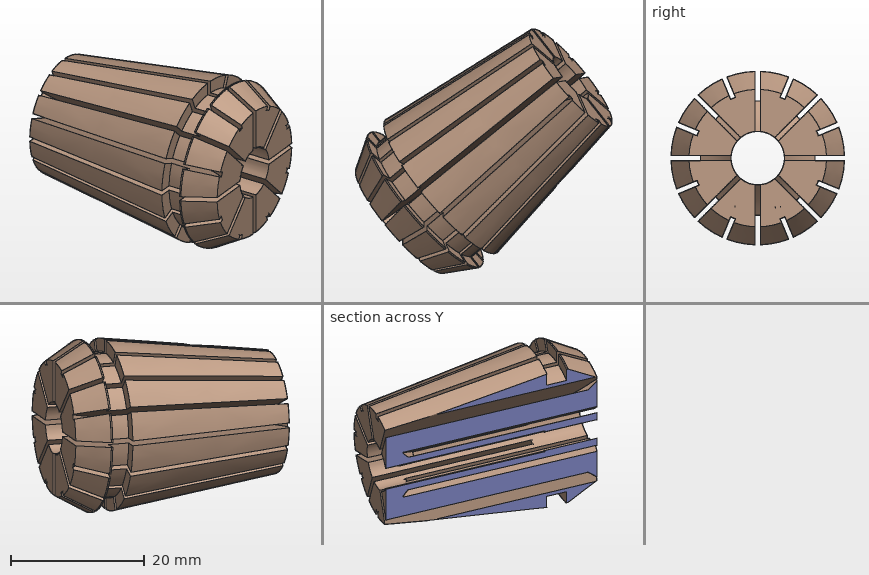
import cadquery as cq
import math

length = 34.0
max_radius = 13.0
bore_radius = 3.98
taper_length = 25.9
taper_angle = 8.0
groove_end = 29.07
groove_radius = 11.0
rim_width = 0.25
head_angle = 30.0

slit_pairs = 8
slit_width = 0.75

nose_floor_radius = 8.57
nose_runout = 4.7
nose_saw_radius = 15.0
head_floor_radius = 9.7
head_runout = 8.5
head_saw_radius = 37.4

nose_radius = max_radius - taper_length * math.tan(math.radians(taper_angle))
head_cone_start = groove_end + rim_width
head_cone_length = length - head_cone_start
head_radius = max_radius - head_cone_length * math.tan(math.radians(head_angle))
slit_pitch = 360.0 / slit_pairs
clearance = 1.7


def turned_body():
    half_section = [
        (0, bore_radius),
        (0, nose_radius),
        (taper_length, max_radius),
        (taper_length, groove_radius),
        (groove_end, groove_radius),
        (groove_end, max_radius),
        (head_cone_start, max_radius),
        (length, head_radius),
        (length, bore_radius),
    ]
    profile = cq.Workplane("XY").polyline(half_section).close()
    return profile.revolve(360, (0, 0, 0), (1, 0, 0))


def slit_cutter(floor_radius, runout_length, saw_radius):
    """Slit in the XY plane whose floor sweeps from the bore to floor_radius at X = 0."""
    rise = floor_radius - bore_radius
    chord = math.hypot(runout_length, rise)
    centre_offset = math.sqrt(saw_radius ** 2 - (chord / 2) ** 2)
    centre_x = runout_length / 2 + centre_offset * rise / chord
    centre_y = (floor_radius + bore_radius) / 2 + centre_offset * runout_length / chord

    middle_x = centre_x - saw_radius * rise / chord
    middle_y = centre_y - saw_radius * runout_length / chord

    top = max_radius + clearance
    outline = (
        cq.Workplane("XY")
        .moveTo(0, floor_radius)
        .threePointArc((middle_x, middle_y), (runout_length, bore_radius))
        .lineTo(runout_length, 0)
        .lineTo(length + clearance, 0)
        .lineTo(length + clearance, top)
        .lineTo(-clearance, top)
        .lineTo(-clearance, floor_radius)
        .close()
    )
    return outline.extrude(slit_width / 2, both=True)


axis_start = (0, 0, 0)
axis_end = (1, 0, 0)
nose_slit = slit_cutter(nose_floor_radius, nose_runout, nose_saw_radius)
head_slit = slit_cutter(head_floor_radius, head_runout, head_saw_radius)
head_slit = head_slit.mirror("YZ", (length / 2, 0, 0))

result = turned_body()
for index in range(slit_pairs):
    angle = index * slit_pitch
    result = result.cut(nose_slit.rotate(axis_start, axis_end, angle))
    result = result.cut(head_slit.rotate(axis_start, axis_end, angle + slit_pitch / 2))